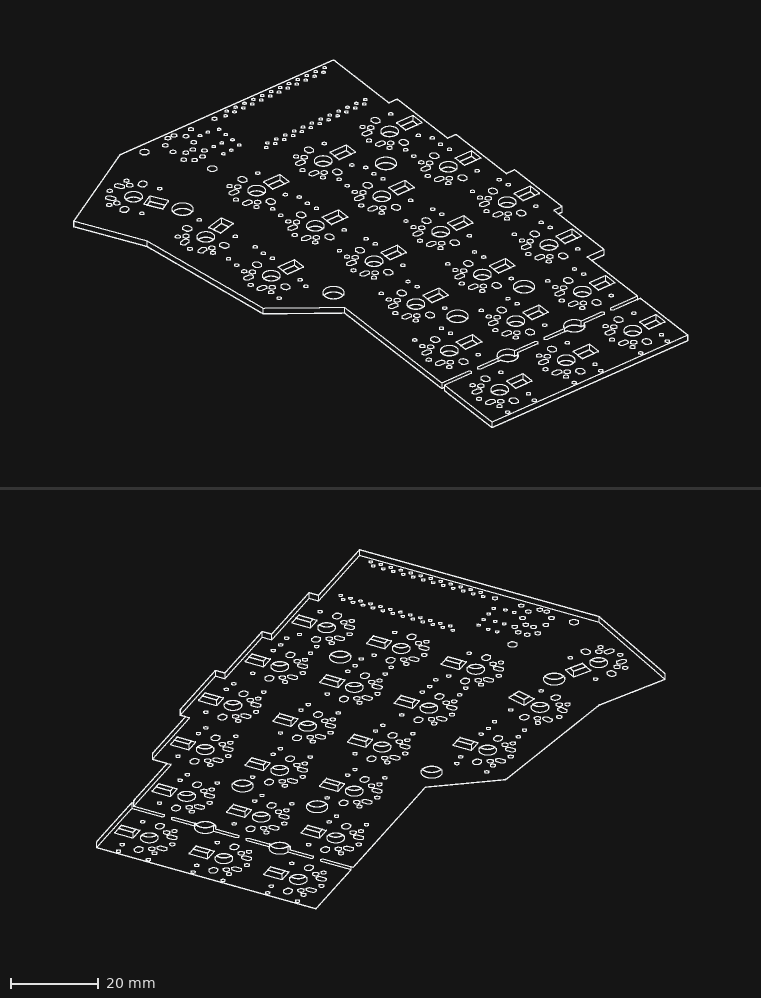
import cadquery as cq


thickness = 1.6
board_length = 133.8
key_pitch = 19.0
key_margin = 9.0
row_count = 3
column_stagger = [2.4, 4.8, 7.2, 4.8, 0, 0]
column_x = [board_length - key_margin - key_pitch * i for i in reversed(range(len(column_stagger)))]
last_row_y = key_margin + key_pitch * (row_count - 1)
unstaggered_top = last_row_y + key_margin

thumb_keys = [(58.2, -5.9, 0), (37.2, -8.7, 15), (14.8, -12.5, -60)]

thumb_outline = [(0, -5.1), (14.2, -29.0), (30.4, -20.3), (67.1, -15.0), (78.1, 0)]

stem_hole = 4.0
led_width = 3.5
led_height = 4.7
led_y = 5.6
side_slot_length = 2.3
side_slot_width = 1.9
side_slot_x = 5.4
upper_pin_hole = 1.0
upper_pin_x = 5.2
upper_pin_y = 4.3
inner_pin_hole = 1.5
inner_pin_x = 3.7
inner_pin_y = -2.5
outer_pin_hole = 1.2
outer_pin_x = 5.1
outer_pin_y = -3.9
bottom_pin_y = -5.9
pin_slot_length = 2.4
pin_slot_width = 1.5
pin_slot_x = 2.5
pin_slot_y = -4.5

diode_hole = 1.0
diode_span = 7.6
diode_x = 8.0
far_diode_x = 11.1

pin_pitch = 2.5
pin_hole = 0.82
controller_pins = 12
controller_first_x = 1.2
controller_top_y = 52.4
controller_row_spacing = 15.4
display_pins = 4
display_x = 5.8
display_y = 18.9
header_hole = 0.82
header_x = [5.1, 10.3, 13.9]
header_y = [13.9, 16.2]
button_hole = 1.2
button_x = 1.9
button_y = [13.8, 20.5]
jack_hole = 1.3
jack_points = [
    (1.5, 9.2), (1.5, 7.5), (8.4, 9.4), (8.4, 7.4),
    (3.3, 11.2), (6.3, 11.2), (10.3, 11.2),
    (3.3, 5.4), (6.4, 5.2), (10.3, 5.4),
    (11.9, 9.5), (11.9, 7.2),
]

screw_hole = 2.1
screw_points = [(2.5, 0), (17.0, 8.4)]
spacer_hole = 4.8
break_x = (column_x[-2] + column_x[-1]) / 2
between_rows = [key_margin + key_pitch * (row + 0.5) for row in range(row_count - 1)]
spacer_points = [(39.2, 41.2), (72.0, 1.5), (25.4, -6.4)]
spacer_points += [(x, y) for x in (break_x - key_pitch, break_x) for y in between_rows]
break_slot_width = 1.0
break_tab = 1.9
break_overrun = 2.7


def key_y(column, row):
    return key_margin + key_pitch * row + column_stagger[column]


def holes(points, diameter):
    return cq.Workplane().pushPoints(points).circle(diameter / 2).extrude(thickness)


def slots(points, length, width, angle):
    return cq.Workplane().pushPoints(points).slot2D(length, width, angle).extrude(thickness)


def mirrored(x, y):
    return [(-x, y), (x, y)]


def board():
    upper_edge = [(0, unstaggered_top)]
    left_stagger = 0
    for i, stagger in enumerate(column_stagger):
        if stagger != left_stagger:
            edge = column_x[i] - key_margin if stagger > left_stagger else column_x[i - 1] + key_margin
            upper_edge += [(edge, unstaggered_top + left_stagger), (edge, unstaggered_top + stagger)]
        left_stagger = stagger
    upper_edge += [(board_length, unstaggered_top), (board_length, 0)]
    outline = upper_edge + thumb_outline[::-1]
    return cq.Workplane().polyline(outline).close().extrude(thickness)


def key_openings():
    led = cq.Workplane().center(0, led_y).rect(led_width, led_height).extrude(thickness)
    return [
        led,
        holes([(0, 0)], stem_hole),
        slots(mirrored(side_slot_x, 0), side_slot_length, side_slot_width, 0),
        holes(mirrored(upper_pin_x, upper_pin_y), upper_pin_hole),
        holes(mirrored(inner_pin_x, inner_pin_y), inner_pin_hole),
        holes(mirrored(outer_pin_x, outer_pin_y) + [(0, bottom_pin_y)], outer_pin_hole),
        slots(mirrored(pin_slot_x, pin_slot_y), pin_slot_length, pin_slot_width, 90),
    ]


def diode_holes():
    inner_columns = range(1, len(column_x) - 1)
    centres = []
    for row in range(row_count):
        for column in inner_columns:
            centres.append((column_x[column] - diode_x, key_y(column, row)))
        centres.append((column_x[1] - far_diode_x, key_y(1, row)))
        centres.append((column_x[-1] + diode_x, key_y(-1, row)))
    thumb_x, thumb_y, _ = thumb_keys[0]
    for offset in (-far_diode_x, -diode_x, diode_x):
        centres.append((thumb_x + offset, thumb_y))
    return holes([(x, y + end * diode_span / 2) for x, y in centres for end in (-1, 1)], diode_hole)


def controller_holes():
    points = []
    for side in range(2):
        for stagger in range(2):
            x = controller_first_x + side * controller_row_spacing + stagger * pin_pitch / 2
            top = controller_top_y - stagger * pin_pitch / 2
            points += [(x, top - pin_pitch * i) for i in range(controller_pins)]
    points += [(display_x + pin_pitch * i, display_y) for i in range(display_pins)]
    return holes(points, pin_hole)


def break_slots():
    tabs = [key_margin + key_pitch * row for row in range(row_count)]
    ends = [-break_overrun] + tabs + [unstaggered_top + break_overrun]
    cutters = []
    for low, high in zip(ends, ends[1:]):
        centre = [(break_x, (low + high) / 2)]
        cutters.append(slots(centre, high - low - break_tab, break_slot_width, 90))
    return cutters


keys = [(column_x[c], key_y(c, r), 0) for c in range(len(column_x)) for r in range(row_count)]
opening_shapes = key_openings()
cutters = [
    shape.rotate((0, 0, 0), (0, 0, 1), angle).translate((x, y, 0))
    for x, y, angle in keys + thumb_keys
    for shape in opening_shapes
]
cutters += break_slots()
cutters += [
    diode_holes(),
    controller_holes(),
    holes([(x, y) for x in header_x for y in header_y], header_hole),
    holes([(button_x, y) for y in button_y], button_hole),
    holes(jack_points, jack_hole),
    holes(screw_points, screw_hole),
    holes(spacer_points, spacer_hole),
]
solids = [solid for cutter in cutters for solid in cutter.vals()]
result = cq.Workplane(board().val().cut(*solids).Solids()[0])